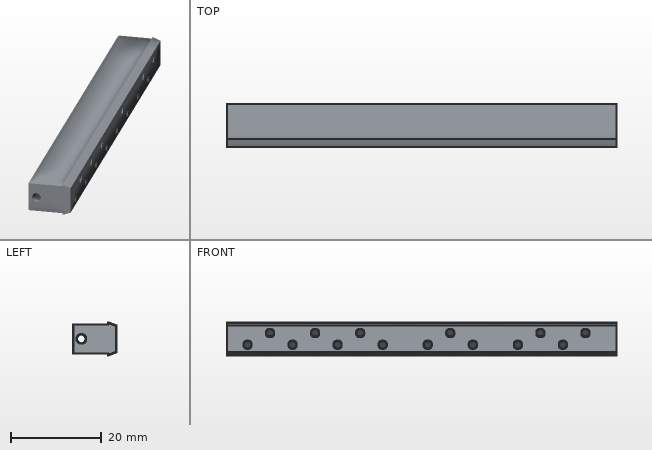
import cadquery as cq

length = 86.5
depth = 9.6
ridge_height = 7.3

body_height = 6.5
front_height = 5.9
ridge_setback = 1.8

bore_diameter = 2.0
bore_setback = 1.8

hole_diameter = 1.8
hole_depth = 7.0
first_hole_offset = 4.6
last_hole_offset = 6.9
row_spacing = 2.6
upper_row_stagger = 0.5
lower_row_slots = (0, 1, 2, 3, 4, 5, 6, 7)
upper_row_slots = (0, 1, 2, 4, 6, 7)
first_hole_x = -length / 2 + first_hole_offset
hole_span = length - first_hole_offset - last_hole_offset
hole_pitch = hole_span / (upper_row_slots[-1] + upper_row_stagger)

front_y = -depth / 2
back_y = depth / 2
ridge_y = front_y + ridge_setback
bore_y = back_y - bore_setback


def make_bar():
    """Bar whose front flanks taper out to a small step on the top and bottom."""
    upper_side = [
        (front_y, front_height / 2),
        (ridge_y, ridge_height / 2),
        (ridge_y, body_height / 2),
        (back_y, body_height / 2),
    ]
    lower_side = [(y, -z) for y, z in reversed(upper_side)]
    return (
        cq.Workplane("YZ", origin=(-length / 2, 0, 0))
        .polyline(upper_side + lower_side)
        .close()
        .extrude(length)
    )


def make_bore():
    """Lengthwise bore, open at both ends."""
    return (
        cq.Workplane("YZ", origin=(-length / 2, bore_y, 0))
        .circle(bore_diameter / 2)
        .extrude(length)
    )


def row_of_holes(slots, stagger, z):
    """Hole centres of one row, at the given slots of the common pitch."""
    return [(first_hole_x + (slot + stagger) * hole_pitch, z) for slot in slots]


def make_front_holes():
    """Blind holes from the front face that break slightly into the bore."""
    lower_row = row_of_holes(lower_row_slots, 0, -row_spacing / 2)
    upper_row = row_of_holes(upper_row_slots, upper_row_stagger, row_spacing / 2)
    return (
        cq.Workplane("XZ", origin=(0, front_y, 0))
        .pushPoints(lower_row + upper_row)
        .circle(hole_diameter / 2)
        .extrude(-hole_depth)
    )


result = make_bar().cut(make_bore()).cut(make_front_holes())